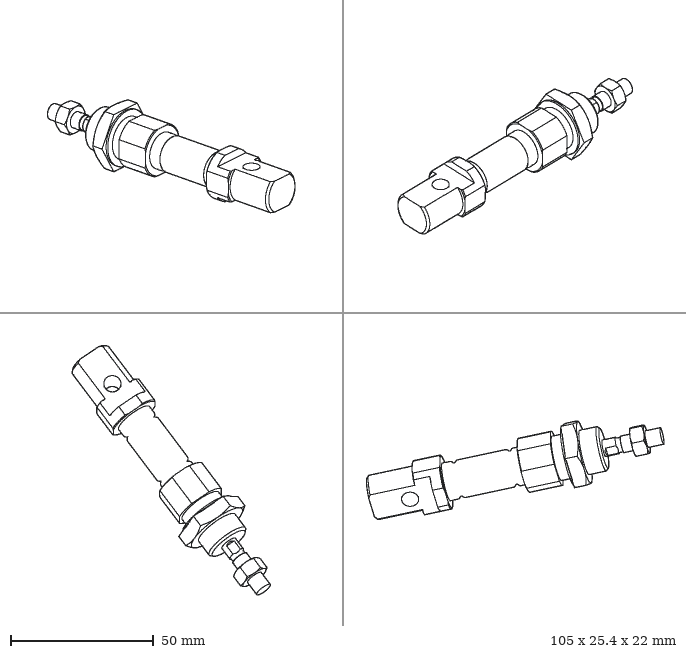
import cadquery as cq
import math


LENGTH = 105.0
NECK_START = 14.4
NECK_END = 16.2
ROD_FLAT_END = 20.0
HOUSING_START = 21.0
BLOCK_START = 38.0
BLOCK_END = 50.1
FRONT_CRIMP = 53.8
REAR_CRIMP = 73.8
REAR_BLOCK_START = 77.9
TONGUE_STEP = 82.0
REAR_BLOCK_END = 88.0
PIVOT_X = 91.0

ROD_DIA = 6.0
NECK_DIA = 5.2
NECK_FILLET = 0.3
ROD_FLATS = 5.0
ROD_NUT_START = 5.5
ROD_NUT_LENGTH = 5.0
ROD_NUT_FLATS = 10.0

COLLAR_DIA = 16.0
COLLAR_CHAMFER = 0.8
TUBE_DIA = 13.5
CRIMP_DIA = 12.0
CRIMP_WIDTH = 2.7
BLOCK_FLATS = 18.0
BLOCK_CORNER_DIA = 19.4
BLOCK_BEVEL_DIA = 18.5
TONGUE_THICKNESS = 12.0
PIVOT_DIA = 6.0
MOUNT_NUT_START = 28.0
MOUNT_NUT_LENGTH = 5.2
MOUNT_NUT_FLATS = 22.0
WASHER_DIA = 21.0
WASHER_THICKNESS = 0.7

BEVEL_ANGLE = math.radians(30)


def cylinder(start, end, diameter):
    """Round bar along the X axis."""
    return cq.Workplane("YZ", origin=(start, 0, 0)).circle(diameter / 2).extrude(end - start)


def box(start, end, width, height):
    """Rectangular bar centred on the X axis."""
    return cq.Workplane("YZ", origin=(start, 0, 0)).rect(width, height).extrude(end - start)


def beveled_bar(start, end, diameter, face_dia, ends):
    """Round bar whose chosen ends ("<X", ">X") are coned down to face_dia."""
    radial = (diameter - face_dia) / 2
    axial = radial * math.tan(BEVEL_ANGLE)
    bar = cylinder(start, end, diameter)
    for end_face in ends:
        on_start = end_face == "<X"
        face_x = start if on_start else end
        inner_x = start + axial if on_start else end - axial
        ring = (
            cq.Workplane("XY")
            .moveTo(face_x, face_dia / 2)
            .lineTo(face_x, diameter / 2)
            .lineTo(inner_x, diameter / 2)
            .close()
            .revolve(360, (0, 0, 0), (1, 0, 0))
        )
        bar = bar.cut(ring)
    return bar


def hex_nut(start, length, flats, beveled_ends):
    """Solid hexagon with corners toward +Y and -Y."""
    corner_dia = flats / math.cos(math.radians(30))
    hexagon = cq.Workplane("YZ", origin=(start, 0, 0)).polygon(6, corner_dia).extrude(length)
    return hexagon.intersect(beveled_bar(start, start + length, corner_dia, flats, beveled_ends))


def square_block(start, end, beveled_ends):
    """Square block with rounded corners."""
    corners = beveled_bar(start, end, BLOCK_CORNER_DIA, BLOCK_BEVEL_DIA, beveled_ends)
    return corners.intersect(box(start, end, BLOCK_FLATS, BLOCK_FLATS))


def crimp_groove(center_x):
    """Ring to cut from the tube: a rounded valley that runs smoothly into rounded shoulders."""
    half_width = CRIMP_WIDTH / 2
    depth = (TUBE_DIA - CRIMP_DIA) / 2
    slope = 2 * math.atan(depth / half_width)
    arc_radius = half_width / (2 * math.sin(slope))
    arc_mid_x = arc_radius * math.sin(slope / 2)
    arc_mid_drop = arc_radius * (1 - math.cos(slope / 2))
    top = TUBE_DIA / 2
    bottom = CRIMP_DIA / 2
    middle = (top + bottom) / 2
    left = center_x - half_width
    right = center_x + half_width
    return (
        cq.Workplane("XY")
        .moveTo(left, top)
        .threePointArc((left + arc_mid_x, top - arc_mid_drop), (center_x - half_width / 2, middle))
        .threePointArc((center_x, bottom), (center_x + half_width / 2, middle))
        .threePointArc((right - arc_mid_x, top - arc_mid_drop), (right, top))
        .close()
        .revolve(360, (0, 0, 0), (1, 0, 0))
    )


def rod_flat(side):
    """Cut for one wrench flat, with a 45 degree run-out; side is +1 or -1 along Z."""
    flat_z = ROD_FLATS / 2
    top_z = ROD_DIA / 2
    run_out = top_z - flat_z
    start = NECK_END - NECK_FILLET
    profile = [
        (start, side * flat_z),
        (ROD_FLAT_END, side * flat_z),
        (ROD_FLAT_END + run_out, side * top_z),
        (start, side * top_z),
    ]
    return cq.Workplane("XZ").polyline(profile).close().extrude(ROD_DIA / 2, both=True)


def neck_groove():
    """Ring to cut from the rod at the neck, with a fillet at the foot of its rear shoulder."""
    top = ROD_DIA / 2
    bottom = NECK_DIA / 2
    fillet_offset = NECK_FILLET * (1 - math.sqrt(0.5))
    return (
        cq.Workplane("XY")
        .moveTo(NECK_START, top)
        .lineTo(NECK_START, bottom)
        .lineTo(NECK_END - NECK_FILLET, bottom)
        .threePointArc((NECK_END - fillet_offset, bottom + fillet_offset), (NECK_END, bottom + NECK_FILLET))
        .lineTo(NECK_END, top)
        .close()
        .revolve(360, (0, 0, 0), (1, 0, 0))
    )


def make_piston_rod():
    """Rod with a neck, two wrench flats and a lock nut."""
    rod = cylinder(0, HOUSING_START, ROD_DIA).cut(neck_groove())
    for side in (1, -1):
        rod = rod.cut(rod_flat(side))
    return rod.union(hex_nut(ROD_NUT_START, ROD_NUT_LENGTH, ROD_NUT_FLATS, ("<X", ">X")))


def make_collar():
    """Mounting collar with its nut and the nut's washer face."""
    collar = cylinder(HOUSING_START, BLOCK_START, COLLAR_DIA).faces("<X").chamfer(COLLAR_CHAMFER)
    nut_end = MOUNT_NUT_START + MOUNT_NUT_LENGTH
    nut = hex_nut(MOUNT_NUT_START, MOUNT_NUT_LENGTH, MOUNT_NUT_FLATS, ("<X",))
    washer = cylinder(nut_end, nut_end + WASHER_THICKNESS, WASHER_DIA)
    return collar.union(nut).union(washer)


def make_tube():
    """Cylinder tube with a crimped groove near each end."""
    tube = cylinder(BLOCK_END, REAR_BLOCK_START, TUBE_DIA)
    for center_x in (FRONT_CRIMP, REAR_CRIMP):
        tube = tube.cut(crimp_groove(center_x))
    return tube


def make_end_cap():
    """Rear block and round tongue, flattened above and below, with a pivot hole."""
    block = square_block(REAR_BLOCK_START, REAR_BLOCK_END, ("<X", ">X"))
    tongue = cylinder(REAR_BLOCK_END, LENGTH, COLLAR_DIA).faces(">X").chamfer(COLLAR_CHAMFER)
    head = box(REAR_BLOCK_START, TONGUE_STEP, BLOCK_FLATS, BLOCK_FLATS)
    flattened = box(TONGUE_STEP, LENGTH, BLOCK_FLATS, TONGUE_THICKNESS)
    pivot = (
        cq.Workplane("XY", origin=(PIVOT_X, 0, 0))
        .circle(PIVOT_DIA / 2)
        .extrude(TONGUE_THICKNESS, both=True)
    )
    return block.union(tongue).intersect(head.union(flattened)).cut(pivot)


def make_housing():
    """Collar, front block, tube and end cap joined in a row."""
    front_block = square_block(BLOCK_START, BLOCK_END, (">X",))
    return make_collar().union(front_block).union(make_tube()).union(make_end_cap())


piston_rod = make_piston_rod()
housing = make_housing()

result = cq.Compound.makeCompound([piston_rod.val(), housing.val()])